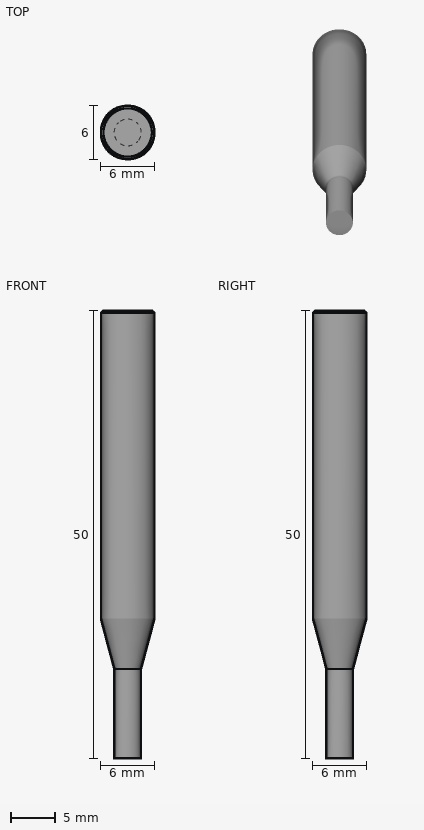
import cadquery as cq
import math

overall_length = 50.0
shank_diameter = 6.0
shank_radius = shank_diameter / 2

tip_diameter = 3.0
tip_radius = tip_diameter / 2
tip_length = 10.0

neck_half_angle = 15.0
neck_length = (shank_radius - tip_radius) / math.tan(math.radians(neck_half_angle))
neck_top = tip_length + neck_length

end_chamfer = 0.3


def make_cutting_tip():
    """Plain cylinder standing on Z = 0."""
    return cq.Workplane("XY").circle(tip_radius).extrude(tip_length)


def make_shank():
    """Conical neck and chamfered shank, revolved about the Z axis."""
    half_profile = (
        cq.Workplane("XZ")
        .moveTo(0, tip_length)
        .lineTo(tip_radius, tip_length)
        .lineTo(shank_radius, neck_top)
        .lineTo(shank_radius, overall_length - end_chamfer)
        .lineTo(shank_radius - end_chamfer, overall_length)
        .lineTo(0, overall_length)
        .close()
    )
    return half_profile.revolve(360, (0, 0, 0), (0, 1, 0))


cutting_tip = make_cutting_tip()
shank = make_shank()

result = cq.Compound.makeCompound([cutting_tip.val(), shank.val()])